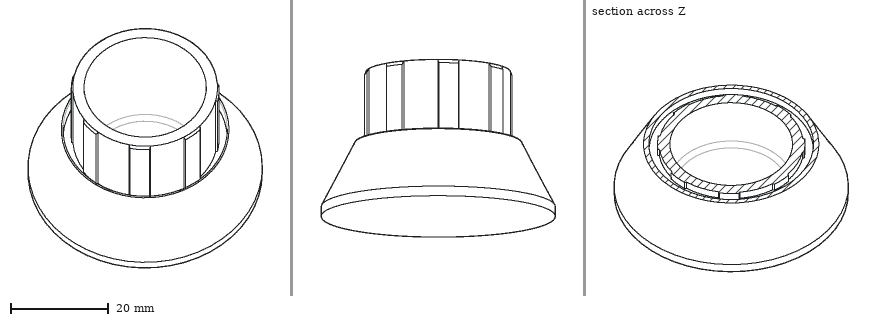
import cadquery as cq
import math

total_height = 30.0

base_diameter = 47.95
base_band_height = 2.0
skirt_top_diameter = 34.3
rim_edge_z = 15.15

recess_diameter = 33.6
recess_floor_z = 11.9

sleeve_diameter = 29.6
bore_diameter = 25.0
bore_floor_z = 2.0
bore_floor_fillet = 1.0

rib_count = 8
rib_circle_diameter = 30.25
rib_root_width = 4.4
rib_crest_width = 4.0
rib_chamfer_height = 0.75
rib_root_overlap = 0.5


def make_skirt():
    """Revolved cone on a short cylindrical band, recessed on top inside a thin rim with a rounded crown."""
    base_radius = base_diameter / 2
    rim_outer_radius = skirt_top_diameter / 2
    rim_inner_radius = recess_diameter / 2
    crown_radius = (rim_outer_radius - rim_inner_radius) / 2
    crown_middle = rim_inner_radius + crown_radius
    profile = (
        cq.Workplane("XZ")
        .lineTo(base_radius, 0)
        .lineTo(base_radius, base_band_height)
        .lineTo(rim_outer_radius, rim_edge_z)
        .threePointArc((crown_middle, rim_edge_z + crown_radius), (rim_inner_radius, rim_edge_z))
        .lineTo(rim_inner_radius, recess_floor_z)
        .lineTo(0, recess_floor_z)
        .close()
    )
    return profile.revolve(360, (0, 0, 0), (0, 1, 0))


def make_sleeve():
    """Plain cylinder rising from the recess floor."""
    height = total_height - recess_floor_z
    return cq.Workplane("XY").workplane(offset=recess_floor_z).circle(sleeve_diameter / 2).extrude(height)


def make_bore():
    """Blind bore cutter with a rounded floor edge."""
    depth = total_height - bore_floor_z
    cutter = cq.Workplane("XY").workplane(offset=bore_floor_z).circle(bore_diameter / 2).extrude(depth)
    return cutter.faces("<Z").edges().fillet(bore_floor_fillet)


def make_rib_envelope():
    """Cylinder through the rib crests, tapering to the sleeve at the top."""
    straight_height = total_height - rib_chamfer_height - recess_floor_z
    sleeve_radius = sleeve_diameter / 2
    crest_radius = rib_circle_diameter / 2
    profile = (
        cq.Workplane("XZ", origin=(0, 0, recess_floor_z))
        .lineTo(crest_radius, 0)
        .lineTo(crest_radius, straight_height)
        .lineTo(sleeve_radius, total_height - recess_floor_z)
        .lineTo(0, total_height - recess_floor_z)
        .close()
    )
    return profile.revolve(360, (0, 0, 0), (0, 1, 0))


def make_rib(envelope, angle):
    """One rib with sloping flanks and a rounded crest, centred on the given angle."""
    root_half = rib_root_width / 2
    crest_half = rib_crest_width / 2
    root_x = math.sqrt((sleeve_diameter / 2) ** 2 - root_half ** 2)
    crest_x = math.sqrt((rib_circle_diameter / 2) ** 2 - crest_half ** 2)
    crest_middle_x = rib_circle_diameter / 2
    inner_x = root_x - rib_root_overlap
    blank = (
        cq.Workplane("XY", origin=(0, 0, recess_floor_z))
        .moveTo(inner_x, -root_half)
        .lineTo(root_x, -root_half)
        .lineTo(crest_x, -crest_half)
        .threePointArc((crest_middle_x, 0), (crest_x, crest_half))
        .lineTo(root_x, root_half)
        .lineTo(inner_x, root_half)
        .close()
        .extrude(total_height - recess_floor_z)
    )
    return blank.intersect(envelope).rotate((0, 0, 0), (0, 0, 1), angle)


body = make_skirt().union(make_sleeve())

rib_envelope = make_rib_envelope()
for index in range(rib_count):
    body = body.union(make_rib(rib_envelope, index * 360 / rib_count))

result = body.cut(make_bore())